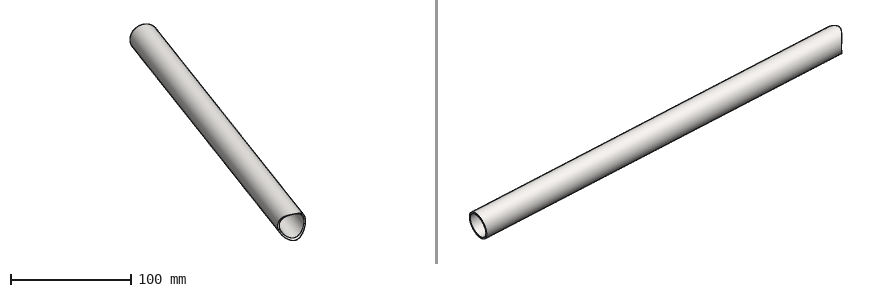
import cadquery as cq

tube_diameter = 25.0
wall_thickness = 1.5
drop_per_length = 0.01997
rise_per_length = 0.01703

mating_diameter = 28.6
mating_axis_x = 378.4
cutter_length = 4 * tube_diameter


def axis_point(x):
    """Point on the tube axis at distance x along X from the square end."""
    return cq.Vector(x, -drop_per_length * x, rise_per_length * x)


def make_tube():
    """Hollow tube from the square end up to the crossing axis."""
    start = axis_point(0)
    direction = axis_point(mating_axis_x) - start
    outer_radius = tube_diameter / 2
    inner_radius = outer_radius - wall_thickness
    end_plane = cq.Plane(origin=start.toTuple(), normal=direction.toTuple())
    section = cq.Workplane(end_plane).circle(outer_radius).circle(inner_radius)
    return section.extrude(direction.Length)


def make_saddle_cutter():
    """Solid cylinder of the crossing tube's outside, centred on the tube axis."""
    center = axis_point(mating_axis_x)
    plane = cq.Plane(origin=center.toTuple(), xDir=(1, 0, 0), normal=(0, 1, 0))
    return cq.Workplane(plane).circle(mating_diameter / 2).extrude(cutter_length / 2, both=True)


result = make_tube().cut(make_saddle_cutter())